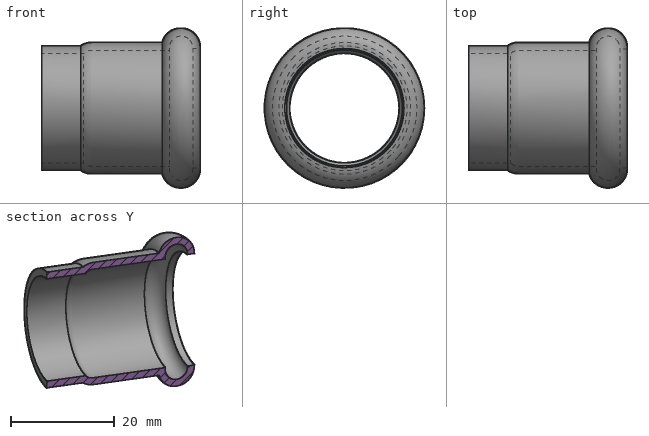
import cadquery as cq
import math

length = 30.5
shoulder_start = 7.5
inner_shoulder_start = 8.05
shoulder_end = 9.48

spigot_outer_radius = 24.0 / 2
spigot_bore_radius = 21.0 / 2
socket_outer_radius = 25.3 / 2
socket_bore_radius = 22.3 / 2
lip_radius = 22.9 / 2
bead_outer_radius = 30.8 / 2

bead_section_radius = 3.75
wall = socket_outer_radius - socket_bore_radius
groove_section_radius = bead_section_radius - wall
bead_center_x = length - bead_section_radius
bead_center_radius = bead_outer_radius - bead_section_radius

bead_root_x = bead_center_x - math.sqrt(
    bead_section_radius**2 - (socket_outer_radius - bead_center_radius) ** 2
)


def shoulder_arc_middle(start_x, start_radius, end_x, end_radius):
    """Middle of an arc that ends parallel to the axis at the socket."""
    run = end_x - start_x
    rise = end_radius - start_radius
    arc_radius = (run**2 + rise**2) / (2 * rise)
    half_angle = math.asin(run / arc_radius) / 2
    return (
        end_x - arc_radius * math.sin(half_angle),
        end_radius - arc_radius * (1 - math.cos(half_angle)),
    )


outer_shoulder_middle = shoulder_arc_middle(
    shoulder_start, spigot_outer_radius, shoulder_end, socket_outer_radius
)
inner_shoulder_middle = shoulder_arc_middle(
    inner_shoulder_start, spigot_bore_radius, shoulder_end, socket_bore_radius
)

profile = (
    cq.Workplane("XY")
    .moveTo(0, spigot_bore_radius)
    .lineTo(0, spigot_outer_radius)
    .lineTo(shoulder_start, spigot_outer_radius)
    .threePointArc(outer_shoulder_middle, (shoulder_end, socket_outer_radius))
    .lineTo(bead_root_x, socket_outer_radius)
    .threePointArc((bead_center_x, bead_outer_radius), (length, bead_center_radius))
    .lineTo(length, lip_radius)
    .lineTo(length - wall, lip_radius)
    .lineTo(length - wall, bead_center_radius)
    .threePointArc(
        (bead_center_x, bead_center_radius + groove_section_radius),
        (bead_center_x - groove_section_radius, bead_center_radius),
    )
    .lineTo(bead_center_x - groove_section_radius, socket_bore_radius)
    .lineTo(shoulder_end, socket_bore_radius)
    .threePointArc(inner_shoulder_middle, (inner_shoulder_start, spigot_bore_radius))
    .close()
)

result = profile.revolve(360, (0, 0, 0), (1, 0, 0))